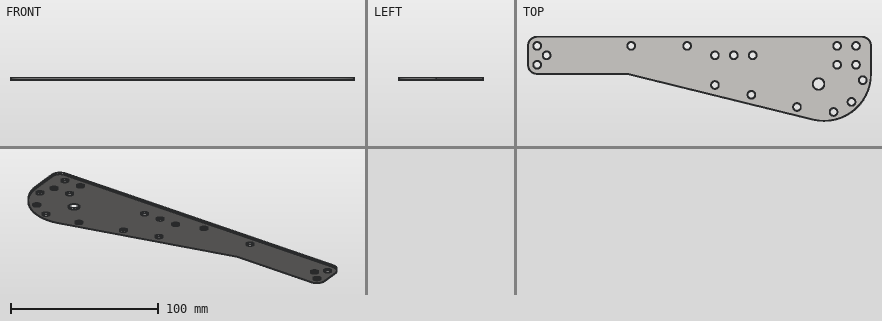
import cadquery as cq
import math

length = 232.5
height = 57.2
thickness = 1.58
arm_width = 25.3
corner_radius = 6.3
arm_length = 67.5

end_radius = height - arm_width
end_x = length - end_radius
slope_angle = math.asin(end_radius / (end_x - arm_length))

hole_diameter = 5.0
pivot_diameter = 7.7
pivot_center = (196.9, -6.7)
pitch = 12.8
edge_margin = 6.3
upper_row_y = arm_width - edge_margin
lower_row_y = edge_margin
middle_row_y = arm_width / 2
upper_hole_xs = (70.0, 107.8)
middle_row_start_x = 126.7
middle_row_count = 3
square_right_x = 222.2

sloping_row_start = (middle_row_start_x, -7.5)
sloping_row_angle = 15.0
sloping_row_distances = (0, 2 * pitch, 4.5 * pitch)

ring_radius = 26.5
ring_angles = (9, 45.5, 76)


def make_plate():
    tangent_x = end_x - end_radius * math.sin(slope_angle)
    tangent_y = -end_radius * math.cos(slope_angle)
    middle_angle = -(math.pi / 2 + slope_angle) / 2
    arc_middle = (
        end_x + end_radius * math.cos(middle_angle),
        end_radius * math.sin(middle_angle),
    )
    plate = (
        cq.Workplane("XY")
        .moveTo(0, 0)
        .lineTo(arm_length, 0)
        .lineTo(tangent_x, tangent_y)
        .threePointArc(arc_middle, (length, 0))
        .lineTo(length, arm_width)
        .lineTo(0, arm_width)
        .close()
        .extrude(thickness)
    )
    plate = plate.edges("|Z").edges("<X").fillet(corner_radius)
    upper_right_corner = cq.selectors.NearestToPointSelector((length, arm_width, thickness / 2))
    return plate.edges("|Z").edges(upper_right_corner).fillet(corner_radius)


def hole_centers():
    centers = [
        (edge_margin, upper_row_y),
        (edge_margin, lower_row_y),
        (edge_margin + pitch / 2, middle_row_y),
    ]
    centers += [(x, upper_row_y) for x in upper_hole_xs]
    centers += [(middle_row_start_x + i * pitch, middle_row_y) for i in range(middle_row_count)]
    for x in (square_right_x - pitch, square_right_x):
        centers += [(x, upper_row_y), (x, lower_row_y)]
    start_x, start_y = sloping_row_start
    row_angle = math.radians(sloping_row_angle)
    for distance in sloping_row_distances:
        centers.append((
            start_x + distance * math.cos(row_angle),
            start_y - distance * math.sin(row_angle),
        ))
    for degrees in ring_angles:
        angle = math.radians(degrees)
        centers.append((end_x + ring_radius * math.cos(angle), -ring_radius * math.sin(angle)))
    return centers


def make_pins(centers, diameter):
    return cq.Workplane("XY").pushPoints(centers).circle(diameter / 2).extrude(thickness)


result = (
    make_plate()
    .cut(make_pins(hole_centers(), hole_diameter))
    .cut(make_pins([pivot_center], pivot_diameter))
)